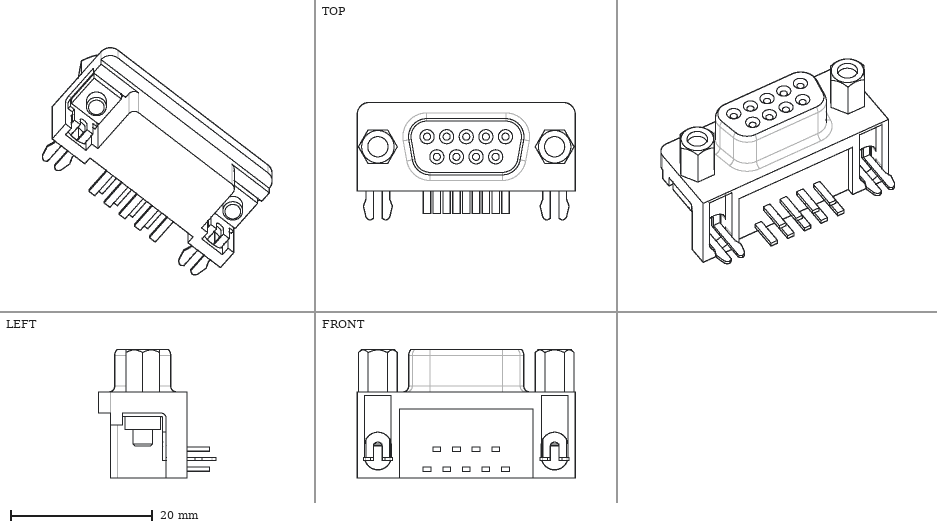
import cadquery as cq
import math


flange_length = 30.81
flange_width = 12.55
flange_thickness = 3.0
flange_corner_radius = 1.7
housing_depth = 12.2
front_y = -flange_width / 2
back_y = flange_width / 2 - flange_corner_radius
front_wall_thickness = 2.97
wall_back_y = front_y + front_wall_thickness
lip_front_y = 2.87
lip_depth = 4.7
block_length = 19.0
block_corner_radius = 0.98
terminal_recess_length = 18.87
terminal_recess_top_z = -2.4
terminal_recess_depth = 1.15

shell_height = 6.0
contact_pitch = 2.77
row_half_spacing = 1.42
shell_corner_radius = 2.55
shell_corner_x = 5.6
shell_side_angle = math.radians(10)
shell_rim_radius = 1.22
shell_rim_height = 0.86
shell_base_radius = 0.8

contact_rows = ((5, row_half_spacing), (4, -row_half_spacing))
contact_diameter = 1.0
contact_mouth_diameter = 2.0
contact_mouth_depth = 0.5
contact_depth = 4.0

tail_width = 1.08
tail_thickness = 0.62
tail_tip_y = -9.43
tail_rows = ((4, -8.1), (5, -10.92))

fixing_x = 12.48
hex_flats = 4.76
hex_top_radius = 2.29
hex_bore_diameter = 2.86
hex_bore_depth = 1.0
nut_size = 5.0
nut_bottom_z = -5.34
screw_diameter = 2.8
screw_end_z = -7.65
screw_chamfer = 0.3

slot_width = 3.74
slot_top_z = -0.5
slot_bottom_z = -11.0
slot_depth = 1.7
window_top_z = -5.7

sheet = 0.48
bend_inner_radius = 0.25
bend_outer_radius = bend_inner_radius + sheet
lock_width = 4.9
shoulder_z = -5.7
leg_outer_x = 1.69
leg_gap = 1.23
gap_top_z = -7.1
prong_bottom_z = -9.73
barb_x = 2.06
barb_start_y = -7.4
barb_peak_y = -8.38
barb_end_x = 1.74
barb_end_y = -9.75
tip_x = 1.04
tip_y = -10.375
tip_inner_y = -10.1


def box(x_min, x_max, y_min, y_max, z_min, z_max):
    """Axis-aligned block between the given limits."""
    size = (x_max - x_min, y_max - y_min, z_max - z_min)
    return cq.Workplane("XY").box(*size, centered=False).translate((x_min, y_min, z_min))


def row_positions(count):
    """X positions of evenly pitched contacts, centred on X = 0."""
    return [(i - (count - 1) / 2) * contact_pitch for i in range(count)]


def shell_on_flange():
    """Flange plate carrying the D-shaped shell, with its rounded rim and flared base."""
    half_length = flange_length / 2
    half_width = flange_width / 2
    flange = (
        box(-half_length, half_length, -half_width, half_width, -flange_thickness, 0)
        .edges("|Z and >Y")
        .fillet(flange_corner_radius)
    )
    lower_corner_x = shell_corner_x - 2 * row_half_spacing * math.tan(shell_side_angle)
    corner_centres = [
        (-shell_corner_x, row_half_spacing),
        (shell_corner_x, row_half_spacing),
        (lower_corner_x, -row_half_spacing),
        (-lower_corner_x, -row_half_spacing),
    ]
    full_height = shell_height - shell_rim_height + shell_rim_radius
    shell = (
        cq.Workplane("XY")
        .polyline(corner_centres)
        .close()
        .offset2D(shell_corner_radius)
        .extrude(full_height)
        .faces(">Z")
        .edges()
        .fillet(shell_rim_radius)
    )
    level_limits = box(-half_length, half_length, -half_width, half_width, 0, shell_height)
    shell = shell.intersect(level_limits)
    base_region = cq.selectors.BoxSelector(
        (-fixing_x, -half_width, -shell_base_radius),
        (fixing_x, half_width, shell_base_radius),
        boundingbox=True,
    )
    return flange.union(shell).edges(base_region).fillet(shell_base_radius)


def housing():
    """Terminal block, back lip and front wall below the flange."""
    half_length = flange_length / 2
    half_block = block_length / 2
    block = (
        box(-half_block, half_block, wall_back_y, back_y, -housing_depth, -flange_thickness)
        .edges("|Z and >Y")
        .fillet(block_corner_radius)
    )
    lip = box(-half_length, half_length, lip_front_y, back_y, -lip_depth, -flange_thickness)
    wall = box(-half_length, half_length, front_y, wall_back_y, -housing_depth, -flange_thickness)
    return block.union(lip).union(wall)


def bend_support(side):
    """Housing material filling the outside of a board-lock bend."""
    x_inner, x_outer = sorted((side * block_length / 2, side * flange_length / 2))
    corner_y = wall_back_y + bend_outer_radius
    corner_z = -flange_thickness - bend_outer_radius
    corner = box(x_inner, x_outer, wall_back_y, corner_y, corner_z, -flange_thickness)
    bend = (
        cq.Workplane("YZ", origin=(x_inner, corner_y, corner_z))
        .circle(bend_outer_radius)
        .extrude(x_outer - x_inner)
    )
    return corner.cut(bend)


def terminal_recess():
    """Shallow pocket in the front face around the solder tails, open at the bottom."""
    half_length = terminal_recess_length / 2
    pocket_back_y = front_y + terminal_recess_depth
    return box(
        -half_length, half_length, front_y, pocket_back_y, -housing_depth, terminal_recess_top_z
    )


def solder_tails():
    """Two rows of rectangular tails standing out of the terminal recess."""
    tails = cq.Workplane("XY")
    root_y = front_y + terminal_recess_depth
    for count, z in tail_rows:
        for x in row_positions(count):
            tails = tails.union(
                box(
                    x - tail_width / 2,
                    x + tail_width / 2,
                    tail_tip_y,
                    root_y,
                    z - tail_thickness / 2,
                    z + tail_thickness / 2,
                )
            )
    return tails


def contact_openings():
    """Countersunk holes in the shell face, one for each contact."""
    points = [(x, y) for count, y in contact_rows for x in row_positions(count)]
    mouth_radius = contact_mouth_diameter / 2
    opening = (
        cq.Workplane("XZ")
        .moveTo(0, shell_height)
        .lineTo(mouth_radius, shell_height)
        .lineTo(contact_diameter / 2, shell_height - contact_mouth_depth)
        .lineTo(contact_diameter / 2, shell_height - contact_depth)
        .lineTo(0, shell_height - contact_depth)
        .close()
        .revolve(360, (0, 0, 0), (0, 1, 0))
        .val()
    )
    return cq.Workplane("XY").pushPoints(points).eachpoint(lambda place: opening.moved(place))


def lock_slot():
    """Round-ended slot in the front face; the arched window behind it is open at the bottom."""
    end_radius = slot_width / 2
    slot_back_y = front_y + slot_depth
    slot_end_z = slot_bottom_z + end_radius
    slot = box(-end_radius, end_radius, front_y, slot_back_y, slot_end_z, slot_top_z)
    slot_end = (
        cq.Workplane("XZ", origin=(0, slot_back_y, slot_end_z)).circle(end_radius).extrude(slot_depth)
    )
    arch_z = window_top_z - end_radius
    window = box(-end_radius, end_radius, slot_back_y, wall_back_y, -housing_depth, arch_z)
    arch = (
        cq.Workplane("XZ", origin=(0, wall_back_y, arch_z))
        .circle(end_radius)
        .extrude(wall_back_y - slot_back_y)
    )
    return slot.union(slot_end).union(window).union(arch)


def board_lock():
    """Bent sheet bracket with a split tail whose two prongs carry outward barbs."""
    half_width = lock_width / 2
    sheet_top_z = -flange_thickness
    leg_front_y = wall_back_y
    leg_back_y = wall_back_y + sheet
    plate = box(-half_width, half_width, leg_front_y, lip_front_y, sheet_top_z - sheet, sheet_top_z)
    leg = (
        cq.Workplane("XZ", origin=(0, leg_back_y, 0))
        .moveTo(-half_width, sheet_top_z)
        .lineTo(half_width, sheet_top_z)
        .lineTo(half_width, shoulder_z)
        .lineTo(leg_outer_x, shoulder_z)
        .lineTo(leg_outer_x, prong_bottom_z)
        .lineTo(-leg_outer_x, prong_bottom_z)
        .lineTo(-leg_outer_x, shoulder_z)
        .lineTo(-half_width, shoulder_z)
        .close()
        .extrude(sheet)
    )
    bracket = plate.union(leg)
    bracket = bracket.edges("|X and >Z and <Y").fillet(bend_outer_radius)
    inner_bend = cq.selectors.NearestToPointSelector((0, leg_back_y, sheet_top_z - sheet))
    bracket = bracket.edges("|X").edges(inner_bend).fillet(bend_inner_radius)

    gap_radius = leg_gap / 2
    gap_centre_z = gap_top_z - gap_radius
    gap = box(-gap_radius, gap_radius, leg_front_y, leg_back_y, prong_bottom_z, gap_centre_z)
    gap_end = (
        cq.Workplane("XZ", origin=(0, leg_back_y, gap_centre_z)).circle(gap_radius).extrude(sheet)
    )
    bracket = bracket.cut(gap).cut(gap_end)

    prong = (
        cq.Workplane("XY", origin=(0, 0, prong_bottom_z))
        .moveTo(gap_radius, leg_back_y)
        .lineTo(leg_outer_x, leg_back_y)
        .lineTo(leg_outer_x, barb_start_y)
        .lineTo(barb_x, barb_peak_y)
        .lineTo(barb_end_x, barb_end_y)
        .tangentArcPoint((tip_x, tip_y), relative=False)
        .lineTo(gap_radius, tip_inner_y)
        .close()
        .extrude(sheet)
    )
    return bracket.union(prong).union(prong.mirror("YZ"))


def jack_screw():
    """Hexagonal standoff above the flange; square nut and screw end below the bracket."""
    hex_corners = hex_flats / math.cos(math.radians(30))
    standoff = cq.Workplane("XY").polygon(6, hex_corners).extrude(shell_height)
    chamfer_cone = (
        cq.Workplane("XY")
        .circle(hex_top_radius + shell_height)
        .extrude(shell_height, taper=45)
    )
    bore = (
        cq.Workplane("XY", origin=(0, 0, shell_height - hex_bore_depth))
        .circle(hex_bore_diameter / 2)
        .extrude(hex_bore_depth)
    )
    standoff = standoff.intersect(chamfer_cone).cut(bore)

    half_nut = nut_size / 2
    nut_top_z = -flange_thickness - sheet
    nut = box(-half_nut, half_nut, -half_nut, half_nut, nut_bottom_z, nut_top_z)
    screw = (
        cq.Workplane("XY", origin=(0, 0, screw_end_z))
        .circle(screw_diameter / 2)
        .extrude(nut_bottom_z - screw_end_z)
        .faces("<Z")
        .chamfer(screw_chamfer)
    )
    return standoff.union(nut).union(screw)


connector = shell_on_flange().union(housing())
connector = connector.cut(contact_openings()).cut(terminal_recess())
connector = connector.union(solder_tails())
for side in (-1, 1):
    place = (side * fixing_x, 0, 0)
    connector = connector.cut(lock_slot().translate(place))
    connector = connector.union(bend_support(side))
    connector = connector.union(board_lock().translate(place))
    connector = connector.union(jack_screw().translate(place))

result = connector